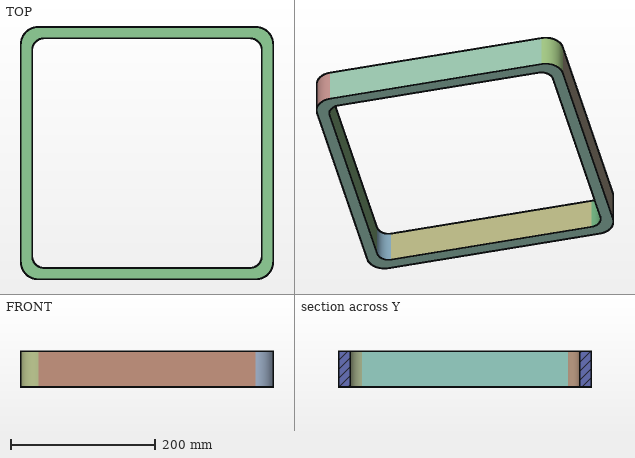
import cadquery as cq

side = 350.0
height = 50.0
wall = 16.0
outer_radius = 24.5
inner_radius = 16.0


def rounded_square_block(width, corner_radius):
    """Square block standing on Z = 0 with rounded vertical edges."""
    block = cq.Workplane("XY").rect(width, width).extrude(height)
    return block.edges("|Z").fillet(corner_radius)


outer_block = rounded_square_block(side, outer_radius)
opening = rounded_square_block(side - 2 * wall, inner_radius)

result = outer_block.cut(opening)